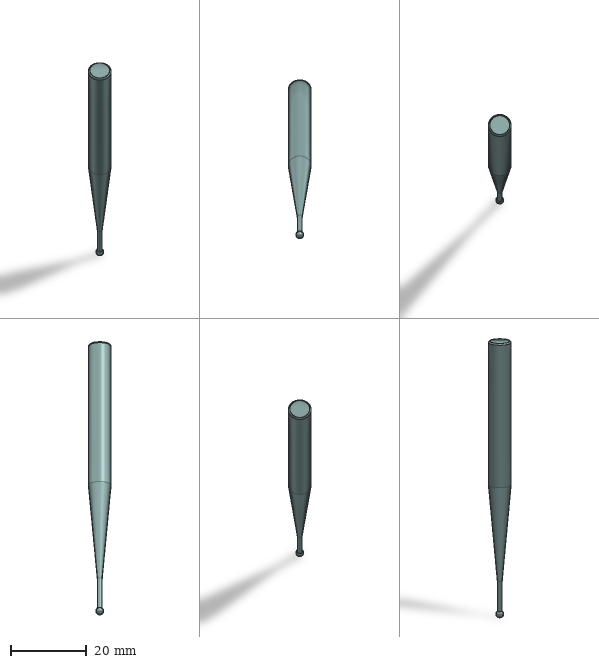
import cadquery as cq
import math

total_length = 75.0
shank_diameter = 6.0
ball_diameter = 2.0
neck_diameter = 1.3
neck_top_z = 10.0
taper_top_z = 36.0
end_chamfer = 0.4

shank_radius = shank_diameter / 2
ball_radius = ball_diameter / 2
neck_radius = neck_diameter / 2

ball_neck_z = ball_radius + math.sqrt(ball_radius**2 - neck_radius**2)

half_outline = (
    cq.Workplane("XZ")
    .moveTo(0, 0)
    .threePointArc((ball_radius, ball_radius), (neck_radius, ball_neck_z))
    .lineTo(neck_radius, neck_top_z)
    .lineTo(shank_radius, taper_top_z)
    .lineTo(shank_radius, total_length - end_chamfer)
    .lineTo(shank_radius - end_chamfer, total_length)
    .lineTo(0, total_length)
    .close()
)

result = half_outline.revolve(360, (0, 0, 0), (0, 1, 0))